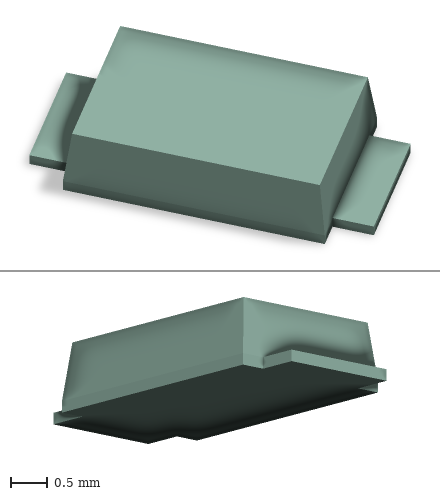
import cadquery as cq
import math

body_length = 3.8
body_width = 2.5
body_height = 1.0
draft_angle = 7.0

lead_span = 5.0
lead_width = 1.76
lead_thickness = 0.165

upper_height = body_height - lead_thickness
draft_inset = upper_height * math.tan(math.radians(draft_angle))


def make_body():
    """Base band as thick as the leads, topped by a block tapering on all four sides."""
    base = cq.Workplane("XY").rect(body_length, body_width).extrude(lead_thickness)
    upper = (
        cq.Workplane("XY", origin=(0, 0, lead_thickness))
        .rect(body_length, body_width)
        .workplane(offset=upper_height)
        .rect(body_length - 2 * draft_inset, body_width - 2 * draft_inset)
        .loft(ruled=True)
    )
    return base.union(upper)


def make_leads():
    """One flat strip whose ends project from both short sides of the body."""
    return cq.Workplane("XY").rect(lead_span, lead_width).extrude(lead_thickness)


result = make_body().union(make_leads())